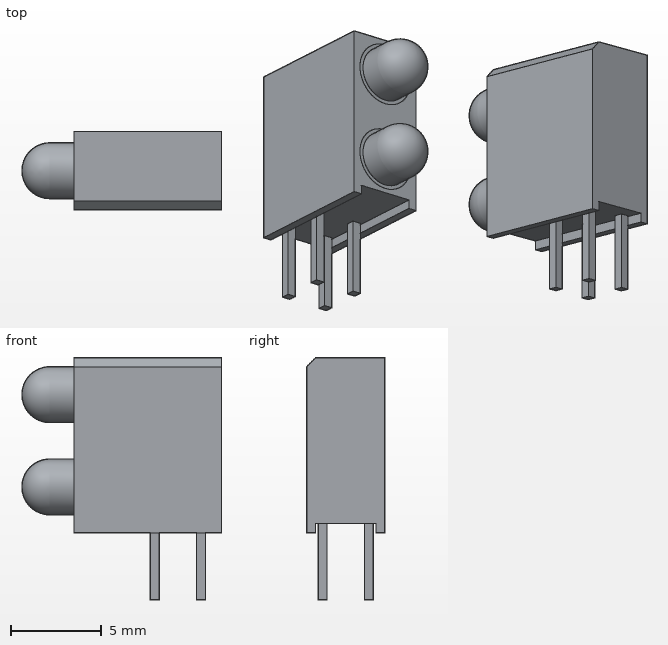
import cadquery as cq


housing_length = 8.14
housing_width = 4.32
housing_height = 9.65
edge_chamfer = 0.51
foot_width = 0.51
foot_height = 0.51

led_diameter = 3.1
led_radius = led_diameter / 2
led_protrusion = 2.87
led_pitch = 5.08
upper_led_drop = 2.04
upper_led_z = housing_height - upper_led_drop
led_heights = [upper_led_z, upper_led_z - led_pitch]
collar_diameter = 3.52
socket_depth = 0.51

overall_height = 13.34
pin_side = 0.51
pin_pitch = 2.55
rear_pin_inset = 1.13
pin_bottom = housing_height - overall_height
pin_length = foot_height - pin_bottom
rear_pin_x = housing_length - rear_pin_inset
pin_xs = [rear_pin_x - pin_pitch, rear_pin_x]
pin_ys = [-pin_pitch / 2, pin_pitch / 2]


def socket_disc(diameter, z):
    """Cylinder from the front face back to the socket floor."""
    return (
        cq.Workplane("YZ", origin=(0, 0, z))
        .circle(diameter / 2)
        .extrude(socket_depth)
    )


def make_housing():
    """Block with one chamfered top edge, a channel between its feet and two sockets."""
    block = (
        cq.Workplane("XY")
        .box(housing_length, housing_width, housing_height, centered=(False, True, False))
        .edges(">Z and <Y")
        .chamfer(edge_chamfer)
    )
    channel = cq.Workplane("XY").box(
        housing_length, housing_width - 2 * foot_width, foot_height, centered=(False, True, False)
    )
    block = block.cut(channel)
    for z in led_heights:
        block = block.cut(socket_disc(collar_diameter, z))
    return block


def make_collar(z):
    """Ring that fills the socket around an LED, flush with the front face."""
    return socket_disc(collar_diameter, z).cut(socket_disc(led_diameter, z))


def make_led(z):
    """Round-nosed LED, revolved about its axis, seated on the socket floor."""
    tip_x = -led_protrusion
    dome_centre_x = tip_x + led_radius
    dome_mid_offset = led_radius * 0.5 ** 0.5
    return (
        cq.Workplane("XZ", origin=(0, 0, z))
        .moveTo(tip_x, 0)
        .threePointArc(
            (dome_centre_x - dome_mid_offset, dome_mid_offset),
            (dome_centre_x, led_radius),
        )
        .lineTo(socket_depth, led_radius)
        .lineTo(socket_depth, 0)
        .close()
        .revolve(360, (0, 0, 0), (1, 0, 0))
    )


def make_pin(x, y):
    """Straight square pin hanging from the roof of the channel."""
    return cq.Workplane("XY", origin=(x, y, pin_bottom)).box(
        pin_side, pin_side, pin_length, centered=(True, True, False)
    )


housing = make_housing()
collars = [make_collar(z) for z in led_heights]
leds = [make_led(z) for z in led_heights]
pins = [make_pin(x, y) for x in pin_xs for y in pin_ys]

result = cq.Compound.makeCompound([body.val() for body in [housing, *collars, *leds, *pins]])